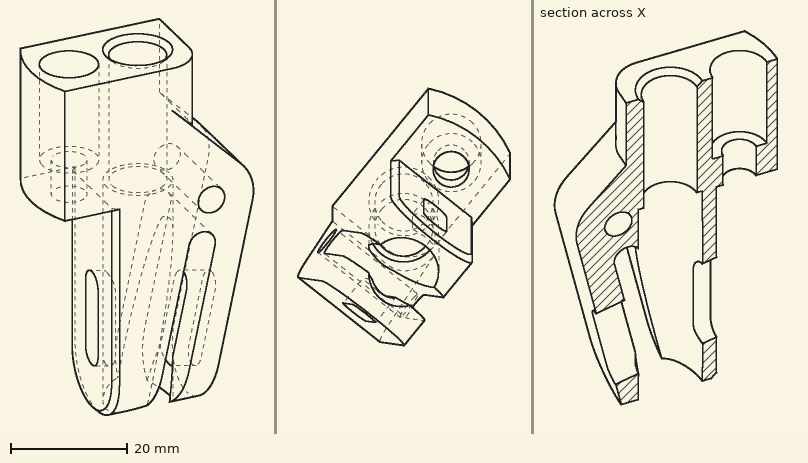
import cadquery as cq
import math

WIDTH = 18.0
HEIGHT = 68.0
HALF_WIDTH = WIDTH / 2

HEAD_HEIGHT = 25.0
HEAD_BACK = 28.55
HEAD_FRONT_RADIUS = 20.0
HEAD_CORNER_RADIUS = 6.0
SHOULDER_Z = HEIGHT - HEAD_HEIGHT
HEAD_FRONT_SAG = HEAD_FRONT_RADIUS - math.sqrt(HEAD_FRONT_RADIUS**2 - HALF_WIDTH**2)

LEG_FRONT = 11.5
LEG_CHAMFER = 1.0
PIVOT_Y = 30.0
PIVOT_Z = 41.1
PIVOT_RADIUS = 8.0
PIVOT_HOLE_DIAMETER = 5.0
BLADE_ANGLE = 12.0
RAMP_ANGLE = 45.0
GAP_WIDTH = 5.0
GAP_START = 8.6

BORE_Y = 20.2
BORE_DIAMETER = 10.0
LOWER_BORE_DIAMETER = 12.05
BORE_CHAMFER = 1.0
SCREW_Y = 7.15
SCREW_DIAMETER = 6.2
SCREW_HEAD_DIAMETER = 10.2
SCREW_HEAD_DEPTH = 18.35

SLOT_WIDTH = 5.0
SLOT_TOP = 27.05
SLOT_BOTTOM = 9.1

CUT_LENGTH = 2 * HEIGHT
BLADE_SIN = math.sin(math.radians(BLADE_ANGLE))
BLADE_COS = math.cos(math.radians(BLADE_ANGLE))


def pivot_rim(angle):
    """Point (Y, Z) on the rounded pivot outline, angle measured from +Y."""
    turn = math.radians(angle)
    return PIVOT_Y + PIVOT_RADIUS * math.cos(turn), PIVOT_Z + PIVOT_RADIUS * math.sin(turn)


def make_head():
    """Column with a bowed front and one rounded rear corner."""
    return (
        cq.Workplane("XY", origin=(0, 0, SHOULDER_Z))
        .moveTo(-HALF_WIDTH, HEAD_FRONT_SAG)
        .threePointArc((0, 0), (HALF_WIDTH, HEAD_FRONT_SAG))
        .lineTo(HALF_WIDTH, HEAD_BACK - HEAD_CORNER_RADIUS)
        .radiusArc((HALF_WIDTH - HEAD_CORNER_RADIUS, HEAD_BACK), -HEAD_CORNER_RADIUS)
        .lineTo(-HALF_WIDTH, HEAD_BACK)
        .close()
        .extrude(HEAD_HEIGHT)
    )


def make_leg():
    """Side profile of leg and blade, with a round foot and a chamfered front rim."""
    blade_top = pivot_rim(-BLADE_ANGLE)
    blade_foot_y = blade_top[0] - blade_top[1] * BLADE_SIN / BLADE_COS
    ramp_foot = pivot_rim(RAMP_ANGLE)
    ramp_top_y = HEAD_BACK - HEAD_CORNER_RADIUS
    ramp_top_z = ramp_foot[1] + (ramp_foot[0] - ramp_top_y) / math.tan(math.radians(RAMP_ANGLE))
    profile = (
        cq.Workplane("YZ")
        .moveTo(LEG_FRONT, 0)
        .lineTo(blade_foot_y, 0)
        .lineTo(*blade_top)
        .threePointArc(pivot_rim((RAMP_ANGLE - BLADE_ANGLE) / 2), ramp_foot)
        .lineTo(ramp_top_y, ramp_top_z)
        .lineTo(ramp_top_y, SHOULDER_Z)
        .lineTo(LEG_FRONT, SHOULDER_Z)
        .close()
        .extrude(HALF_WIDTH, both=True)
    )
    outline = (
        cq.Workplane("XZ", origin=(0, LEG_FRONT, 0))
        .moveTo(-HALF_WIDTH, HALF_WIDTH)
        .threePointArc((0, 0), (HALF_WIDTH, HALF_WIDTH))
        .lineTo(HALF_WIDTH, HEIGHT)
        .lineTo(-HALF_WIDTH, HEIGHT)
        .close()
        .extrude(-CUT_LENGTH)
        .faces("<Y")
        .chamfer(LEG_CHAMFER)
    )
    return profile.intersect(outline)


def make_bore():
    """Through bore, wider below the head and chamfered at the top rim."""
    axis = cq.Workplane("XY").center(0, BORE_Y)
    upper = axis.circle(BORE_DIAMETER / 2).extrude(HEIGHT)
    lower = axis.circle(LOWER_BORE_DIAMETER / 2).extrude(SHOULDER_Z)
    mouth = cq.Solid.makeCone(
        BORE_DIAMETER / 2,
        BORE_DIAMETER / 2 + BORE_CHAMFER,
        BORE_CHAMFER,
        pnt=cq.Vector(0, BORE_Y, HEIGHT - BORE_CHAMFER),
    )
    return upper.union(lower).union(cq.Workplane(mouth))


def make_screw_hole():
    """Counterbored hole through the front of the head."""
    axis = cq.Workplane("XY", origin=(0, SCREW_Y, HEIGHT))
    shank = axis.circle(SCREW_DIAMETER / 2).extrude(-HEAD_HEIGHT)
    return shank.union(axis.circle(SCREW_HEAD_DIAMETER / 2).extrude(-SCREW_HEAD_DEPTH))


def make_pivot_hole():
    return (
        cq.Workplane("YZ")
        .center(PIVOT_Y, PIVOT_Z)
        .circle(PIVOT_HOLE_DIAMETER / 2)
        .extrude(WIDTH, both=True)
    )


def make_gap():
    """Round-ended gap running down from below the pivot, parallel to the blade."""
    straight = HEIGHT
    middle = GAP_START + straight / 2
    return (
        cq.Workplane("YZ")
        .center(PIVOT_Y - middle * BLADE_SIN, PIVOT_Z - middle * BLADE_COS)
        .slot2D(straight + GAP_WIDTH, GAP_WIDTH, 90 - BLADE_ANGLE)
        .extrude(WIDTH, both=True)
    )


def make_slot():
    """Round-ended slot from the leg front, square to the blade."""
    length = (SLOT_TOP - SLOT_BOTTOM) * BLADE_COS
    plane = cq.Plane(
        origin=(0, LEG_FRONT, (SLOT_TOP + SLOT_BOTTOM) / 2),
        xDir=(1, 0, 0),
        normal=(0, BLADE_COS, -BLADE_SIN),
    )
    return cq.Workplane(plane).slot2D(length, SLOT_WIDTH, 90).extrude(HEIGHT / 2, both=True)


result = make_head().union(make_leg())
for cutter in (make_bore(), make_screw_hole(), make_pivot_hole(), make_gap(), make_slot()):
    result = result.cut(cutter)